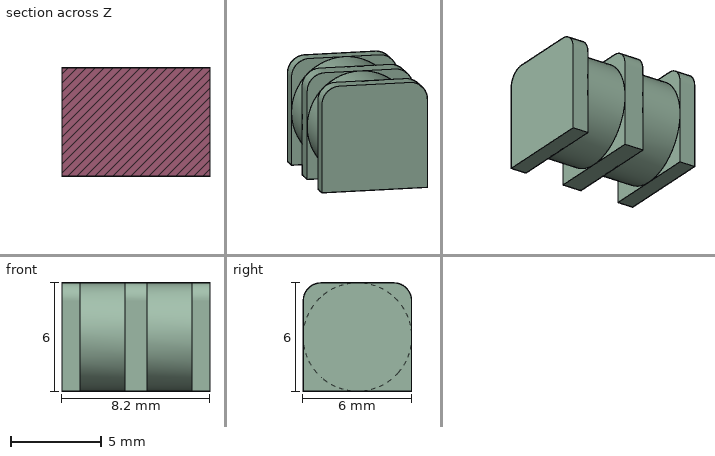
import cadquery as cq

length = 8.2
width = 6.0
end_thickness = 1.0
middle_thickness = 1.21
corner_radius = 1.0


def flange(start, thickness):
    """Square plate across X with its two upper corners rounded."""
    plate = cq.Workplane("YZ").workplane(offset=start).rect(width, width).extrude(thickness)
    return plate.edges("|X and >Z").fillet(corner_radius)


core = cq.Workplane("YZ").workplane(offset=-length / 2).circle(width / 2).extrude(length)

flanges = [
    (-length / 2, end_thickness),
    (-middle_thickness / 2, middle_thickness),
    (length / 2 - end_thickness, end_thickness),
]

result = core
for start, thickness in flanges:
    result = result.union(flange(start, thickness))